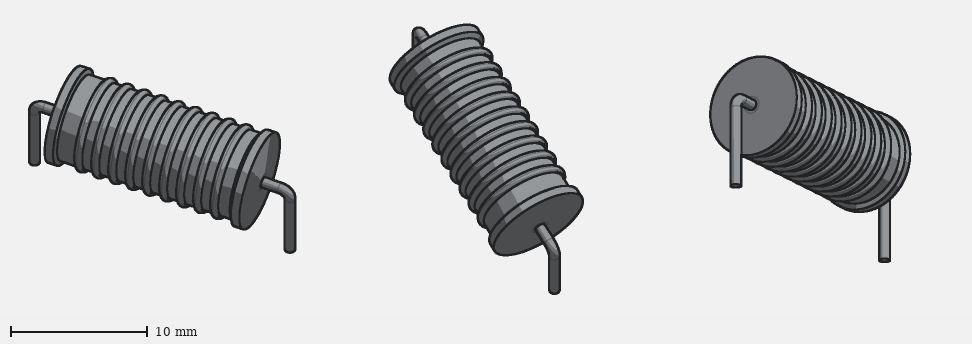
import cadquery as cq

lead_span = 21.12
lead_diameter = 0.8
lead_drop = 6.85
bend_radius = 0.8

body_radius = 6.7 / 2
flange_radius = 7.5 / 2
hub_radius = 0.63
end_x = 8.0
rim_outer_x = 7.75
rim_inner_x = 7.08
left_shoulder_x = 6.93
right_shoulder_x = 6.8

ring_count = 9
ring_pitch = 1.35
ring_center_x = 0.17
ring_wire_radius = 0.32
ring_path_radius = 3.32

axis_start = (0, 0, 0)
axis_end = (1, 0, 0)


def make_body():
    """Cylindrical core with a coned-face flange at each end."""
    return (
        cq.Workplane("XY")
        .moveTo(-end_x, 0)
        .lineTo(-end_x, hub_radius)
        .lineTo(-rim_outer_x, flange_radius)
        .lineTo(-rim_inner_x, flange_radius)
        .lineTo(-left_shoulder_x, body_radius)
        .lineTo(right_shoulder_x, body_radius)
        .lineTo(rim_inner_x, flange_radius)
        .lineTo(rim_outer_x, flange_radius)
        .lineTo(end_x, hub_radius)
        .lineTo(end_x, 0)
        .close()
        .revolve(360, axis_start, axis_end)
    )


def make_ring(x):
    """One round-section winding turn around the core."""
    return cq.Workplane("XY").add(
        cq.Solid.makeTorus(ring_path_radius, ring_wire_radius, cq.Vector(x, 0, 0), cq.Vector(axis_end))
    )


def make_lead(side):
    """Bent wire lead; side is -1 for left and +1 for right."""
    leg_x = side * (lead_span - lead_diameter) / 2
    bend_start_x = leg_x - side * bend_radius
    root_x = side * rim_inner_x
    path = (
        cq.Workplane("XZ")
        .moveTo(root_x, 0)
        .lineTo(bend_start_x, 0)
        .tangentArcPoint((leg_x, -bend_radius), relative=False)
        .lineTo(leg_x, -lead_drop)
    )
    return cq.Workplane("YZ", origin=(root_x, 0, 0)).circle(lead_diameter / 2).sweep(path)


result = make_body()
for index in range(ring_count):
    offset = index - (ring_count - 1) / 2
    result = result.union(make_ring(ring_center_x + offset * ring_pitch))
for side in (-1, 1):
    result = result.union(make_lead(side))